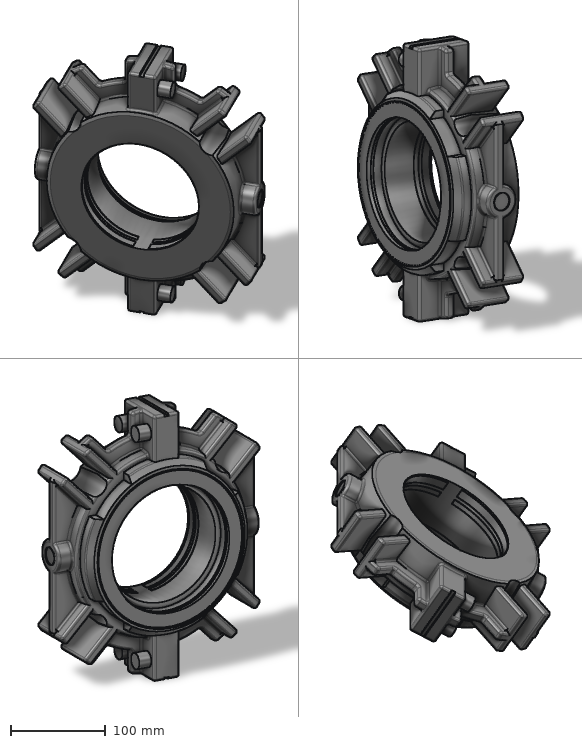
import cadquery as cq
import math


ENVELOPE_RADIUS = 149.0
SIDE_X = 122.68

FRONT_Y = -37.3
FLANGE_CHAMFER_Y = -36.5
STEP_Y = 20.5
PAD_CHAMFER_Y = 31.3
COLLAR_END_Y = 38.5
LIP_Y = 39.6
BACK_Y = 40.8

FACE_RADIUS = 100.0
FLANGE_RADIUS = 103.7
DRUM_RADIUS = 106.5
STEP_RADIUS = 104.3
PAD_RADIUS = 99.0
COLLAR_RADIUS = 91.8
NECK_RADIUS = 87.0
LIP_RADIUS = 88.5
PAD_WIDTH = 91.8
STEP_ROUND = 3.0

BORE_RADIUS = 130.3 / 2
REAR_BORE_RADIUS = 142.8 / 2
REAR_BORE_Y = 22.0
REAR_GROOVE = (32.2, 35.5)
FRONT_GROOVES = ((-35.0, -25.0), (-21.0, -15.0))
GROOVE_DEPTH = 0.45
GROOVE_GAP_WIDTH = 17.0

WEB_THICKNESS = 11.3
WEB_RING_RADIUS = 122.8
WEB_CORNER = 4.0
EDGE_ROUND = 3.0
ROOT_ROUND = 2.7
TOLERANCE = 0.05

LUG_WIDTH = 31.5
LUG_DEPTH = 64.5
LUG_FLANK_WIDTH = 54.3
TOP_GROOVE_WIDTH = 4.8
TOP_GROOVE_DEPTH = 2.7
PIN_DIAMETER = 18.0
PIN_END_X = 30.5
PIN_Z = 127.3
PIN_Y = 18.2

SLOT_HALF_WIDTH = 14.5
SLOT_BOTTOM = 99.3
WEB_SLOT_MARGIN = 3.5
ARM_THICKNESS = 11.0
ARM_FRONT_Y = -LUG_DEPTH / 2
ARM_OUTER = SLOT_HALF_WIDTH + ARM_THICKNESS
ARM_STRIP_OUTER = 37.3
ARM_START = 92.5
ARM_ROOT_END = 141.5
DIAGONALS = (45, 135, 225, 315)

BOSS_DIAMETER = 37.0
BOSS_Y = -2.7
BOSS_START_X = 98.5
RECESS_DIAMETER = 19.5
RECESS_DEPTH = 1.2

CLEARANCE = 3.0


def box(x0, x1, y0, y1, z0, z1):
    return cq.Workplane("XY").box(x1 - x0, y1 - y0, z1 - z0, centered=False).translate((x0, y0, z0))


def disc(radius, y0, y1):
    return cq.Workplane("XZ", origin=(0, y0, 0)).circle(radius).extrude(y0 - y1)


def revolved(points):
    """Solid of revolution about Y from (radius, y) points."""
    return cq.Workplane("XY").polyline(points).close().revolve(360, (0, 0, 0), (0, 1, 0))


def turned(body, angle):
    """Turn a body about Y, taking +X towards +Z."""
    return body.rotate((0, 0, 0), (0, 1, 0), -angle)


def make_drum():
    drum = revolved([
        (0, FRONT_Y), (FACE_RADIUS, FRONT_Y), (FLANGE_RADIUS, FLANGE_CHAMFER_Y),
        (DRUM_RADIUS, 0), (STEP_RADIUS, STEP_Y), (0, STEP_Y),
    ])
    return drum.faces(">Y").edges().fillet(STEP_ROUND)


def make_collar():
    """Rear collar with its lip and four chamfered pads."""
    collar = revolved([
        (0, 0), (COLLAR_RADIUS, 0), (COLLAR_RADIUS, COLLAR_END_Y), (NECK_RADIUS, COLLAR_END_Y),
        (NECK_RADIUS, LIP_Y), (LIP_RADIUS, LIP_Y), (LIP_RADIUS, BACK_Y), (0, BACK_Y),
    ])
    pad_ring = revolved([
        (0, 0), (PAD_RADIUS, 0), (PAD_RADIUS, PAD_CHAMFER_Y), (COLLAR_RADIUS, COLLAR_END_Y), (0, COLLAR_END_Y),
    ])
    half = PAD_WIDTH / 2
    reach = PAD_RADIUS + CLEARANCE
    at_chamfer = cq.selectors.BoxSelector(
        (-reach, PAD_CHAMFER_Y - 0.3, -reach), (reach, PAD_CHAMFER_Y + 0.3, reach))
    pad_ring = pad_ring.edges(at_chamfer).fillet(EDGE_ROUND)
    bars = box(-half, half, 0, BACK_Y, -reach, reach).union(box(-reach, reach, 0, BACK_Y, -half, half))
    return collar.union(pad_ring.intersect(bars))


def make_slots(half_width, y0, y1):
    slots = cq.Workplane("XY")
    centre = SLOT_BOTTOM + SLOT_HALF_WIDTH
    end = ENVELOPE_RADIUS + CLEARANCE
    slot = disc(half_width, y0, y1).translate((centre, 0, 0)).union(
        box(centre, end, y0, y1, -half_width, half_width))
    for angle in DIAGONALS:
        slots = slots.add(turned(slot, angle))
    return slots.combine()


def make_envelope(y0, y1):
    return disc(ENVELOPE_RADIUS, y0, y1).intersect(
        box(-SIDE_X, SIDE_X, y0, y1, -ENVELOPE_RADIUS, ENVELOPE_RADIUS))


def make_web(slots, envelope):
    """Flat web: a ring, the lug flanks, strips along the arms and two side triangles."""
    y0 = -WEB_THICKNESS / 2
    y1 = WEB_THICKNESS / 2
    flank = LUG_FLANK_WIDTH / 2
    web = disc(WEB_RING_RADIUS, y0, y1)
    web = web.union(box(-flank, flank, y0, y1, -ENVELOPE_RADIUS, ENVELOPE_RADIUS))
    for angle in DIAGONALS:
        strip = box(ARM_START, ENVELOPE_RADIUS, y0, y1, -ARM_STRIP_OUTER, ARM_STRIP_OUTER)
        web = web.union(turned(strip, angle))
    for side in (-1, 1):
        triangle = cq.Workplane("XZ", origin=(0, y1, 0)).polyline(
            [(0, 0), (side * SIDE_X, SIDE_X), (side * SIDE_X, -SIDE_X)]).close().extrude(WEB_THICKNESS)
        web = web.union(triangle)
    web = web.intersect(envelope)
    corners = cq.selectors.BoxSelector(
        (-ARM_START, y0, -ENVELOPE_RADIUS), (ARM_START, y1, ENVELOPE_RADIUS))
    corner_limit = cq.selectors.BoxSelector((-89.5, y0, -ENVELOPE_RADIUS), (89.5, y1, ENVELOPE_RADIUS))
    web = web.edges("|Y").edges(corners).edges(corner_limit).fillet(WEB_CORNER)
    return web.cut(slots).faces(">Y or <Y").edges().fillet(EDGE_ROUND)


def make_arms(envelope):
    arms = []
    for angle in DIAGONALS:
        for side in (-1, 1):
            inner = side * SLOT_HALF_WIDTH
            outer = side * ARM_OUTER
            z0 = min(inner, outer)
            z1 = max(inner, outer)
            arm = box(ARM_START, ENVELOPE_RADIUS + CLEARANCE, ARM_FRONT_Y, STEP_Y, z0, z1)
            arms.append(turned(arm, angle).intersect(envelope).edges().fillet(EDGE_ROUND))
    return arms


def make_arm_roots():
    """Concave strips that blend the outer face of each arm into the web."""
    half = WEB_THICKNESS / 2
    sag = ROOT_ROUND * (1 - math.sqrt(0.5))
    strip = cq.Workplane("YZ", origin=(ARM_START, 0, 0)).moveTo(half, ARM_OUTER)
    strip = strip.lineTo(half + ROOT_ROUND, ARM_OUTER)
    strip = strip.threePointArc((half + sag, ARM_OUTER + sag), (half, ARM_OUTER + ROOT_ROUND)).close()
    strip = strip.extrude(ARM_ROOT_END - ARM_START)
    overlap = box(ARM_START, ARM_ROOT_END, 0, half + ROOT_ROUND, ARM_OUTER - EDGE_ROUND, ARM_OUTER)
    strip = strip.union(overlap)
    strip = strip.union(strip.mirror("XZ"))
    pair = strip.union(strip.mirror("XY"))
    return [turned(pair, angle) for angle in DIAGONALS]


def make_lug():
    half_depth = LUG_DEPTH / 2
    half_width = LUG_WIDTH / 2
    lug = box(-half_width, half_width, -half_depth, half_depth, NECK_RADIUS, ENVELOPE_RADIUS)
    return lug.edges("|Z or >Z").fillet(EDGE_ROUND)


def make_pins():
    pins = cq.Workplane("YZ").pushPoints([(-PIN_Y, PIN_Z), (PIN_Y, PIN_Z)])
    return pins.circle(PIN_DIAMETER / 2).extrude(PIN_END_X)


def make_top_groove():
    half = TOP_GROOVE_WIDTH / 2
    reach = LUG_DEPTH / 2
    return box(-half, half, -reach, reach, ENVELOPE_RADIUS - TOP_GROOVE_DEPTH, ENVELOPE_RADIUS)


def make_boss():
    boss = cq.Workplane("YZ", origin=(BOSS_START_X, BOSS_Y, 0)).circle(BOSS_DIAMETER / 2)
    return boss.extrude(SIDE_X - BOSS_START_X).faces(">X").edges().fillet(EDGE_ROUND)


def make_recess():
    recess = cq.Workplane("YZ", origin=(SIDE_X - RECESS_DEPTH, BOSS_Y, 0)).circle(RECESS_DIAMETER / 2)
    return recess.extrude(RECESS_DEPTH)


def make_bore():
    """Stepped bore with shallow grooves; the front grooves stop short at top and bottom."""
    bore = disc(BORE_RADIUS, FRONT_Y, BACK_Y)
    bore = bore.union(disc(REAR_BORE_RADIUS, REAR_BORE_Y, BACK_Y))
    bore = bore.union(disc(REAR_BORE_RADIUS + GROOVE_DEPTH, *REAR_GROOVE))
    half_gap = GROOVE_GAP_WIDTH / 2
    gap = box(-half_gap, half_gap, FRONT_Y, 0, -REAR_BORE_RADIUS, REAR_BORE_RADIUS)
    for y0, y1 in FRONT_GROOVES:
        bore = bore.union(disc(BORE_RADIUS + GROOVE_DEPTH, y0, y1).cut(gap))
    return bore


def is_root(edge):
    """True for an inside edge where the drum, web, lugs and bosses meet, away from the arms."""
    points = [edge.positionAt(t) for t in (0, 0.3, 0.7, 1)]
    centre = edge.Center()
    x = abs(centre.x)
    z = abs(centre.z)
    on_drum = all(STEP_RADIUS - 3 < math.hypot(p.x, p.z) < DRUM_RADIUS + 1.5 for p in points)
    on_drum = on_drum and ARM_FRONT_Y - 0.3 < centre.y < STEP_Y - 0.3
    on_web = all(abs(abs(p.y) - WEB_THICKNESS / 2) < TOLERANCE for p in points)
    beside_lug = on_web and abs(x - LUG_WIDTH / 2) < TOLERANCE
    beside_boss = on_web and x > DRUM_RADIUS and z < BOSS_DIAMETER / 2 and edge.BoundingBox().zlen < TOLERANCE
    around_lug_or_boss = on_drum and (x < LUG_WIDTH / 2 + 1.5 or z < BOSS_DIAMETER / 2 + 1.5)
    return beside_lug or beside_boss or around_lug_or_boss or (on_drum and on_web)


slots = make_slots(SLOT_HALF_WIDTH, FRONT_Y - CLEARANCE, STEP_Y)
web_slots = make_slots(SLOT_HALF_WIDTH + WEB_SLOT_MARGIN, FRONT_Y - CLEARANCE, STEP_Y)
envelope = make_envelope(FRONT_Y - CLEARANCE, BACK_Y)
lug = make_lug()
boss = make_boss()

result = make_drum().union(make_collar()).cut(slots)
result = result.union(make_web(web_slots, envelope))
for arm in make_arms(envelope):
    result = result.union(arm)
result = result.union(lug).union(lug.mirror("XY"))
result = result.union(boss).union(boss.mirror("YZ"))

result = result.newObject(list(filter(is_root, result.edges().vals()))).fillet(ROOT_ROUND)
for arm_root in make_arm_roots():
    result = result.union(arm_root)

pins = make_pins()
top_groove = make_top_groove()
recess = make_recess()
result = result.union(pins).union(pins.mirror("XY"))
result = result.cut(top_groove).cut(top_groove.mirror("XY"))
result = result.cut(recess).cut(recess.mirror("YZ"))
result = result.cut(make_bore())